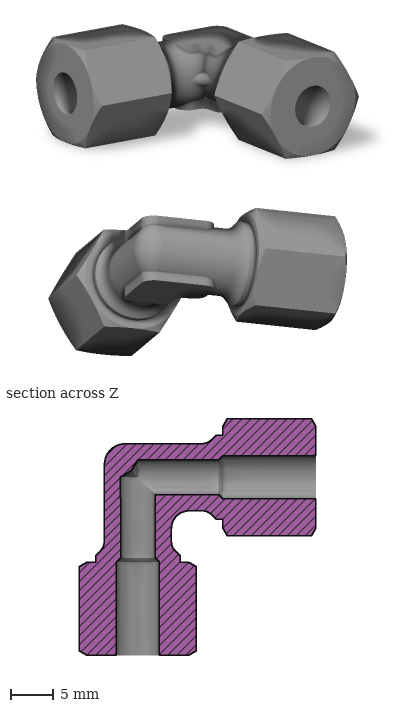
import cadquery as cq
import math


overall_length = 27.93
nut_flats = 12.0
nut_corner_radius = nut_flats / math.sqrt(3)
leg_length = overall_length - nut_corner_radius
nut_length = 11.0
nut_start = leg_length - nut_length
nut_chamfer_angle = 30.0

body_radius = 4.0
collar_radius = 5.0
collar_length = 0.75
flare_angle = 45.0
flare_arc_radius = 1.5
outer_bend_radius = 2.5
bend_offset = body_radius - outer_bend_radius
inner_bend_radius = 2.0
inner_web_radius = 0.8

pad_outer_x = 2.75
pad_outer_y = 2.95
pad_reach = 6.0
pad_corner_radius = 1.5
pad_notch_radius = 1.0

socket_radius = 2.5
bore_radius = 2.0
drill_tip_angle = 118.0
drill_tip_length = bore_radius / math.tan(math.radians(drill_tip_angle / 2))
socket_cone_half_angle = 45.0


def to_y_leg(shape):
    """Turn a feature of the +X leg onto the -Y leg."""
    return shape.rotate((0, 0, 0), (0, 0, 1), -90)


def revolve_about_x(profile):
    """Close a profile drawn above the X axis and revolve it about that axis."""
    return profile.close().revolve(360, (0, 0, 0), (1, 0, 0))


def make_cylinder_leg():
    """Plain round leg of the elbow body."""
    length = nut_start + bend_offset
    return cq.Workplane("YZ", origin=(-bend_offset, 0, 0)).circle(body_radius).extrude(length)


def make_outer_bend():
    """Rounded outer corner: the leg's section swung a quarter turn about the bend axis."""
    half_height = math.sqrt(body_radius**2 - bend_offset**2)
    quarter_turn = 90
    return (
        cq.Workplane("XZ", origin=(0, bend_offset, 0))
        .moveTo(-bend_offset, -half_height)
        .threePointArc((-body_radius, 0), (-bend_offset, half_height))
        .close()
        .revolve(quarter_turn, (-bend_offset, half_height), (-bend_offset, -half_height))
    )


def make_inner_bend():
    """Round-section web swung a quarter turn across the inner corner between the legs."""
    axis_offset = body_radius + inner_bend_radius
    ring_radius = inner_bend_radius + inner_web_radius
    quarter_turn = 90
    return (
        cq.Workplane("XZ", origin=(axis_offset, -axis_offset, 0))
        .center(-ring_radius, 0)
        .circle(inner_web_radius)
        .revolve(quarter_turn, (ring_radius, 0.28), (ring_radius, 0))
    )


def make_collar():
    """Collar with a 45 degree flare that blends into the body through an arc."""
    angle = math.radians(flare_angle)
    collar_start = nut_start - collar_length
    arc_end_radius = body_radius + flare_arc_radius * (1 - math.cos(angle))
    arc_end_x = collar_start - (collar_radius - arc_end_radius) / math.tan(angle)
    arc_start_x = arc_end_x - flare_arc_radius * math.sin(angle)
    arc_middle = (
        arc_start_x + flare_arc_radius * math.sin(angle / 2),
        body_radius + flare_arc_radius * (1 - math.cos(angle / 2)),
    )
    return revolve_about_x(
        cq.Workplane("XY")
        .moveTo(arc_start_x, 0)
        .lineTo(arc_start_x, body_radius)
        .threePointArc(arc_middle, (arc_end_x, arc_end_radius))
        .lineTo(collar_start, collar_radius)
        .lineTo(nut_start, collar_radius)
        .lineTo(nut_start, 0)
    )


def make_nut():
    """Hexagon nut with corners in the XY plane, both ends turned to a cone."""
    hexagon = (
        cq.Workplane("YZ", origin=(nut_start, 0, 0))
        .polygon(6, 2 * nut_corner_radius)
        .extrude(nut_length)
    )
    face_radius = nut_flats / 2
    rim_radius = nut_flats
    setback = (rim_radius - face_radius) * math.tan(math.radians(nut_chamfer_angle))
    turned_envelope = revolve_about_x(
        cq.Workplane("XY")
        .moveTo(nut_start, 0)
        .lineTo(nut_start, face_radius)
        .lineTo(nut_start + setback, rim_radius)
        .lineTo(leg_length - setback, rim_radius)
        .lineTo(leg_length, face_radius)
        .lineTo(leg_length, 0)
    )
    return hexagon.intersect(turned_envelope)


def make_pads():
    """L-shaped block whose ends stand out as flats above and below the elbow."""
    block = (
        cq.Workplane("XY", origin=(0, 0, -body_radius))
        .moveTo(-pad_outer_x, pad_outer_y)
        .lineTo(pad_reach, pad_outer_y)
        .lineTo(pad_reach, -pad_outer_y)
        .lineTo(pad_outer_x, -pad_outer_y)
        .lineTo(pad_outer_x, -pad_reach)
        .lineTo(-pad_outer_x, -pad_reach)
        .close()
        .extrude(2 * body_radius)
    )
    notch_point = (pad_outer_x, -pad_outer_y, 0)
    notch_edge = cq.selectors.NearestToPointSelector(notch_point)
    upright_edges = cq.selectors.ParallelDirSelector(cq.Vector(0, 0, 1))
    outer_edges = cq.selectors.SubtractSelector(upright_edges, notch_edge)
    return block.edges(outer_edges).fillet(pad_corner_radius).edges(notch_edge).fillet(pad_notch_radius)


def make_bore():
    """Socket for the tube, a cone down to the bore, and the drill tip past the elbow centre."""
    cone_length = (socket_radius - bore_radius) / math.tan(math.radians(socket_cone_half_angle))
    return revolve_about_x(
        cq.Workplane("XY")
        .moveTo(-drill_tip_length, 0)
        .lineTo(0, bore_radius)
        .lineTo(nut_start - cone_length, bore_radius)
        .lineTo(nut_start, socket_radius)
        .lineTo(leg_length, socket_radius)
        .lineTo(leg_length, 0)
    )


x_leg = make_cylinder_leg()
elbow = x_leg.union(to_y_leg(x_leg))

leg_end = make_collar().union(make_nut())
bore = make_bore()
result = (
    elbow.union(make_outer_bend())
    .union(make_inner_bend())
    .union(make_pads())
    .union(leg_end)
    .union(to_y_leg(leg_end))
    .cut(bore)
    .cut(to_y_leg(bore))
)